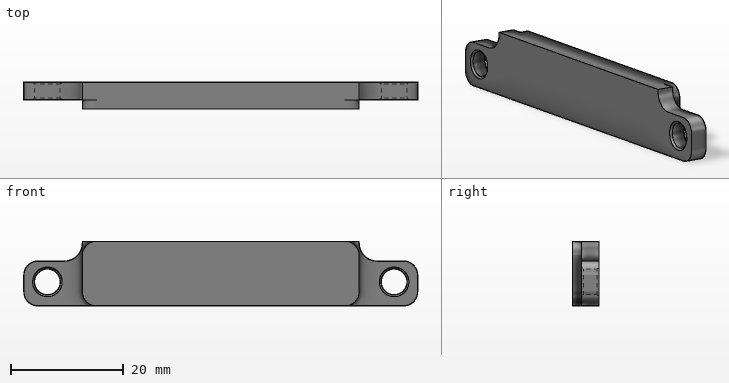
import cadquery as cq

length = 70.0
height = 11.5
thickness = 4.75

plate_thickness = 3.15
ear_height = 8.0
corner_radius = 2.5
shoulder_radius = 3.15

pad_length = 49.2
pad_thickness = thickness - plate_thickness

hole_diameter = 4.55
hole_chamfer = 0.35
hole_inset = 4.2
hole_height = 4.3


def front_block(block_length, block_height, block_thickness, front_y):
    """Block standing on Z = 0, centred in X, running toward +Y from front_y."""
    return cq.Workplane("XY").box(
        block_length, block_thickness, block_height, centered=(True, False, False)
    ).translate((0, front_y, 0))


def make_plate():
    """Plate with rounded ear ends and concave shoulders beside the tall middle."""
    ears = front_block(length, ear_height, plate_thickness, 0)
    ears = ears.edges("|Y").fillet(corner_radius)
    plate = ears.union(front_block(pad_length, height, plate_thickness, 0))
    for side in (-1, 1):
        shoulder = (
            cq.Workplane("XZ")
            .moveTo(side * pad_length / 2, ear_height)
            .lineTo(side * (pad_length / 2 + shoulder_radius), ear_height)
            .radiusArc(
                (side * pad_length / 2, ear_height + shoulder_radius),
                side * shoulder_radius,
            )
            .close()
            .extrude(-plate_thickness)
        )
        plate = plate.union(shoulder)
    return plate


def make_pad():
    """Full-height pad with four rounded corners."""
    pad = front_block(pad_length, height, pad_thickness, -pad_thickness)
    return pad.edges("|Y").fillet(corner_radius)


def make_hole(side):
    """Cutter for one through hole, widening to a chamfer at each face of the ear."""
    radius = hole_diameter / 2
    rim_radius = radius + hole_chamfer
    half_section = [
        (0, 0),
        (rim_radius, 0),
        (radius, hole_chamfer),
        (radius, plate_thickness - hole_chamfer),
        (rim_radius, plate_thickness),
        (0, plate_thickness),
    ]
    cutter = cq.Workplane("XY").polyline(half_section).close().revolve(360, (0, 0), (0, 1))
    return cutter.translate((side * (length / 2 - hole_inset), 0, hole_height))


result = make_plate().union(make_pad())
for end in (-1, 1):
    result = result.cut(make_hole(end))